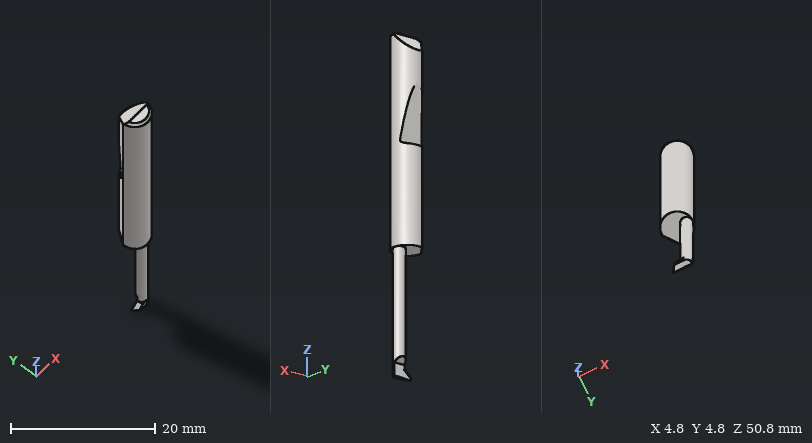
import cadquery as cq
import math

total_height = 50.8
shank_radius = 2.4
shank_bottom = 19.05
top_chamfer = 0.4

flat_back_y = 2.25
flat_side_y = 0.05

bevel_start_y = -0.55

notch_top = 42.95
notch_corner_y = 0.95
notch_corner_z = 34.25
notch_bottom = 33.9
notch_corner_radius = 0.5

neck_radius = 0.9
neck_x = shank_radius - neck_radius
neck_bottom = 0.15
rake_cut_top = 2.1

rake_y = 0.05
head_top = 1.35
heel_bottom = 0.25
tip_nose = (-0.55, 0.0)
tip_side = (-0.7, 0.25)
tip_root = (0.5, head_top)
heel_nose = (0.0, heel_bottom)
heel_side = (0.0, 0.6)
heel_root = (0.65, head_top)

margin = 0.5


def side_prism(points, half_width):
    """Prism along X with a (Y, Z) outline, centred on X = 0."""
    return cq.Workplane("YZ").polyline(points).close().extrude(half_width, both=True)


def make_shank():
    shank = cq.Workplane("XY").workplane(offset=shank_bottom).circle(shank_radius)
    shank = shank.extrude(total_height - shank_bottom).faces(">Z").chamfer(top_chamfer)
    return shank.cut(make_flat()).cut(make_bevel()).cut(make_notch())


def make_flat():
    back_x = -math.sqrt(shank_radius**2 - flat_back_y**2)
    side_x = -math.sqrt(shank_radius**2 - flat_side_y**2)
    run_x = back_x - side_x
    run_y = flat_back_y - flat_side_y
    outline = [
        (side_x - run_x, flat_side_y - run_y),
        (back_x + run_x, flat_back_y + run_y),
        (side_x - run_x, flat_back_y + run_y),
    ]
    flat = cq.Workplane("XY").workplane(offset=shank_bottom).polyline(outline).close()
    return flat.extrude(total_height - shank_bottom)


def make_bevel():
    back_y = shank_radius + margin
    outline = [
        (bevel_start_y, total_height),
        (back_y, total_height - (back_y - bevel_start_y)),
        (back_y, total_height),
    ]
    return side_prism(outline, shank_radius)


def make_notch():
    back_y = shank_radius
    outline = [
        (back_y, notch_top),
        (notch_corner_y, notch_corner_z),
        (back_y, notch_bottom),
    ]
    return side_prism(outline, shank_radius).edges("<Y").fillet(notch_corner_radius)


def make_neck():
    neck = cq.Workplane("XY").center(neck_x, 0).circle(neck_radius).extrude(shank_bottom)
    rake_cut = side_prism(
        [
            (rake_y, 0),
            (rake_y, rake_cut_top),
            (neck_radius, rake_cut_top + neck_radius - rake_y),
            (neck_radius, 0),
        ],
        shank_radius + margin,
    )
    end_relief = side_prism(
        [(rake_y, 0), (rake_y, neck_bottom), (-neck_radius, heel_bottom), (-neck_radius, 0)],
        shank_radius + margin,
    )
    return neck.cut(rake_cut).cut(end_relief)


def make_head():
    rake_outline = [tip_nose, (neck_x, neck_bottom), (neck_x, head_top), tip_root, tip_side]
    heel_outline = [heel_nose, (neck_x, heel_bottom), (neck_x, head_top), heel_root, heel_side]
    head = cq.Workplane("XZ", origin=(0, rake_y, 0)).polyline(rake_outline).close()
    head = head.workplane(offset=rake_y + neck_radius)
    return head.polyline(heel_outline).close().loft(ruled=True, combine=True)


result = make_shank().union(make_neck()).union(make_head())